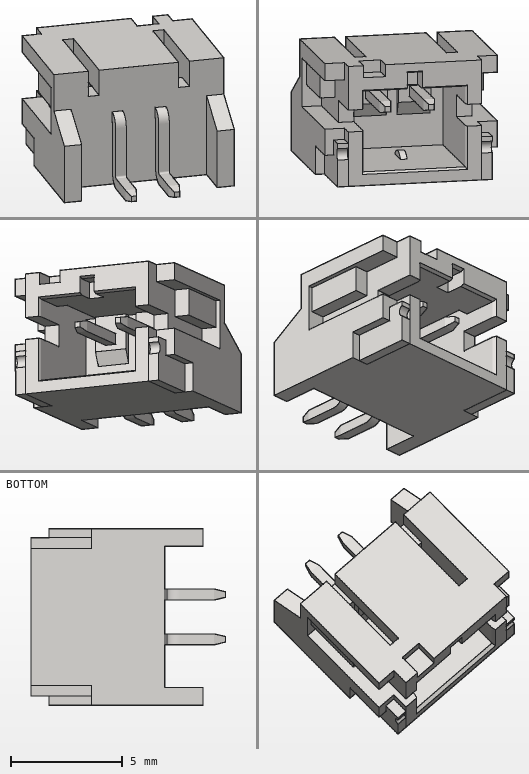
import cadquery as cq
import math


TOTAL_LENGTH = 8.7
HEIGHT = 5.5
WIDTH = 7.9
WALL_BACK_X = 5.985
SIDES = (1, -1)
CUT_MARGIN = 0.435

EAR_BACK_X = 7.7
EAR_THICKNESS = 0.8
SLOPE_TOP_Z = 3.77
SLOPE_BOTTOM_Z = 2.7

CAVITY_WIDTH = 4.7
CAVITY_FLOOR_Z = 0.6
CAVITY_ROOF_Z = 4.3
CAVITY_DEPTH = 4.8
MOUTH_CHAMFER_SIDE = 0.05
MOUTH_CHAMFER_HEIGHT = 0.08
MOUTH_CHAMFER_DEPTH = 0.18

KEYWAY_WIDTH = 0.7
KEYWAY_ROOF_Z = 5.05
KEYWAY_DEPTH = 1.0

NOTCH_LENGTH = 1.0
NOTCH_WIDTH = 1.0
NOTCH_DEPTH = 0.55
NOTCH_CENTER_Y = 1.845

SLOT_FRONT_X = 1.8
SLOT_WIDTH = 0.505
SLOT_OUTER_Y = CAVITY_WIDTH / 2

CORE_HALF_WIDTH = 3.05
FRONT_STEP = 0.8
WINDOW_BACK_X = 5.5
WINDOW_BOTTOM_Z = 2.5
WINDOW_TOP_Z = 4.715
BLOCK_FRONT_X = 2.715
BLOCK_BOTTOM_Z = 3.5
BLOCK_HALF_SPAN = 3.74
SIDE_OPENING_DEPTH = 2.01

TAB_THICKNESS = 0.49
TAB_LENGTH = BLOCK_FRONT_X
TAB_LOW_HEIGHT = 1.3
TAB_FRONT_HEIGHT = 1.98
GROOVE_CENTER_Z = 1.5
GROOVE_WIDTH = 0.52
GROOVE_DEPTH = 0.17

PIN_PITCH = 2.0
PIN_SIZE = 0.5
PIN_TIP_SIZE = 0.25
PIN_TAPER = 0.5
PIN_FRONT_X = 1.1
PIN_CENTER_Z = 3.2
PIN_INNER_BEND = 0.09
PIN_YS = [side * PIN_PITCH / 2 for side in SIDES]

PAD_WIDTH = 1.505
PAD_PROJECTION = 0.29
PAD_FACE_BOTTOM_Z = 2.71
PAD_ROOT_BOTTOM_Z = 2.09

DETENT_WIDTH = 0.305
DETENT_HEIGHT = 0.28
DETENT_FRONT_X = 2.28
DETENT_LENGTH = 1.17


def box(x_range, y_range, z_range):
    """Box between two limits along each axis; each pair may come in either order."""
    limits = [sorted(pair) for pair in (x_range, y_range, z_range)]
    size = [high - low for low, high in limits]
    corner = cq.Vector(*[low for low, high in limits])
    return cq.Workplane(obj=cq.Solid.makeBox(*size, corner))


def extrude_profile(profile, center_y, width):
    """Extrude a closed XZ outline to a width centred on center_y."""
    return profile.extrude(width / 2, both=True).translate((0, center_y, 0))


def make_shell():
    """Solid housing: main block with a sloped ear behind each side."""
    shell = box((0, WALL_BACK_X), (-WIDTH / 2, WIDTH / 2), (0, HEIGHT))
    for side in SIDES:
        outline = cq.Workplane("XZ").polyline([
            (WALL_BACK_X, 0),
            (EAR_BACK_X, 0),
            (EAR_BACK_X, SLOPE_BOTTOM_Z),
            (WALL_BACK_X, SLOPE_TOP_Z),
        ]).close()
        shell = shell.union(extrude_profile(outline, side * (WIDTH - EAR_THICKNESS) / 2, EAR_THICKNESS))
    return shell


def make_cavity():
    """Mating cavity with its chamfered mouth."""
    middle_z = (CAVITY_FLOOR_Z + CAVITY_ROOF_Z) / 2
    height = CAVITY_ROOF_Z - CAVITY_FLOOR_Z
    cavity = box((0, CAVITY_DEPTH), (-CAVITY_WIDTH / 2, CAVITY_WIDTH / 2), (CAVITY_FLOOR_Z, CAVITY_ROOF_Z))
    mouth = (
        cq.Workplane("YZ", origin=(0, 0, middle_z))
        .rect(CAVITY_WIDTH + 2 * MOUTH_CHAMFER_SIDE, height + 2 * MOUTH_CHAMFER_HEIGHT)
        .workplane(offset=MOUTH_CHAMFER_DEPTH)
        .rect(CAVITY_WIDTH, height)
        .loft()
    )
    return cavity.union(mouth)


def make_keyway():
    """Keyway above the cavity, its roof chamfered at the mouth."""
    outline = cq.Workplane("XZ").polyline([
        (0, CAVITY_FLOOR_Z),
        (0, KEYWAY_ROOF_Z + MOUTH_CHAMFER_HEIGHT),
        (MOUTH_CHAMFER_DEPTH, KEYWAY_ROOF_Z),
        (KEYWAY_DEPTH, KEYWAY_ROOF_Z),
        (KEYWAY_DEPTH, CAVITY_FLOOR_Z),
    ]).close()
    return extrude_profile(outline, 0, KEYWAY_WIDTH)


def make_notch():
    """Marking notch in the top front edge."""
    return box(
        (-CUT_MARGIN, NOTCH_LENGTH),
        (NOTCH_CENTER_Y - NOTCH_WIDTH / 2, NOTCH_CENTER_Y + NOTCH_WIDTH / 2),
        (HEIGHT - NOTCH_DEPTH, HEIGHT + CUT_MARGIN),
    )


def make_side_cuts(side):
    """Everything removed from one side: roof slot, window, front step, tab recess and side opening."""
    outer_y = side * (WIDTH / 2 + CUT_MARGIN)
    recess_y = (side * CORE_HALF_WIDTH, outer_y)
    slot_y = (side * SLOT_OUTER_Y, side * (SLOT_OUTER_Y - SLOT_WIDTH))

    window = box((0, WINDOW_BACK_X), recess_y, (WINDOW_BOTTOM_Z, WINDOW_TOP_Z))
    block = box(
        (BLOCK_FRONT_X, WINDOW_BACK_X),
        (side * CORE_HALF_WIDTH, side * BLOCK_HALF_SPAN),
        (BLOCK_BOTTOM_Z, WINDOW_TOP_Z),
    )
    front_step = box((-CUT_MARGIN, FRONT_STEP), recess_y, (-CUT_MARGIN, HEIGHT + CUT_MARGIN))
    tab_recess = box((-CUT_MARGIN, TAB_LENGTH), recess_y, (-CUT_MARGIN, TAB_LOW_HEIGHT))
    opening = box((-CUT_MARGIN, SIDE_OPENING_DEPTH), (0, outer_y), (WINDOW_BOTTOM_Z, BLOCK_BOTTOM_Z))
    slot = box((SLOT_FRONT_X, WALL_BACK_X + CUT_MARGIN), slot_y, (CAVITY_ROOF_Z, HEIGHT + CUT_MARGIN))
    return window.cut(block).union(front_step).union(tab_recess).union(opening).union(slot)


def make_pad(center_y):
    """Pad on the cavity back wall with a sloped underside."""
    outline = cq.Workplane("XZ").polyline([
        (CAVITY_DEPTH, CAVITY_ROOF_Z),
        (CAVITY_DEPTH - PAD_PROJECTION, CAVITY_ROOF_Z),
        (CAVITY_DEPTH - PAD_PROJECTION, PAD_FACE_BOTTOM_Z),
        (CAVITY_DEPTH, PAD_ROOT_BOTTOM_Z),
    ]).close()
    return extrude_profile(outline, center_y, PAD_WIDTH)


def make_detent():
    """Rounded bump on the cavity floor."""
    outline = (
        cq.Workplane("XZ")
        .moveTo(DETENT_FRONT_X, CAVITY_FLOOR_Z)
        .threePointArc(
            (DETENT_FRONT_X + DETENT_LENGTH / 2, CAVITY_FLOOR_Z + DETENT_HEIGHT),
            (DETENT_FRONT_X + DETENT_LENGTH, CAVITY_FLOOR_Z),
        )
        .close()
    )
    return extrude_profile(outline, 0, DETENT_WIDTH)


def make_pin_hole(center_y):
    """Square passage for a pin through the pad and the back wall."""
    half = PIN_SIZE / 2
    return box(
        (CAVITY_DEPTH - PAD_PROJECTION - CUT_MARGIN, WALL_BACK_X + CUT_MARGIN),
        (center_y - half, center_y + half),
        (PIN_CENTER_Z - half, PIN_CENTER_Z + half),
    )


def make_housing():
    """Complete housing with its pin passages."""
    housing = make_shell().cut(make_cavity()).cut(make_keyway()).cut(make_notch())
    for side in SIDES:
        housing = housing.cut(make_side_cuts(side))
    housing = housing.union(make_detent())
    for center_y in PIN_YS:
        housing = housing.union(make_pad(center_y)).cut(make_pin_hole(center_y))
    return housing


def make_pin_tip(start_x, direction, center_y, center_z):
    """Tapered pin end, pointing along +X or -X by direction."""
    plane = cq.Plane(origin=(start_x, center_y, center_z), xDir=(0, 1, 0), normal=(direction, 0, 0))
    return (
        cq.Workplane(plane)
        .rect(PIN_SIZE, PIN_SIZE)
        .workplane(offset=PIN_TAPER)
        .rect(PIN_TIP_SIZE, PIN_TIP_SIZE)
        .loft()
    )


def make_pin(center_y):
    """Bent square pin: contact, vertical leg behind the housing, and foot on the board."""
    outer_bend = PIN_INNER_BEND + PIN_SIZE
    contact_start = PIN_FRONT_X + PIN_TAPER
    foot_end = TOTAL_LENGTH - PIN_TAPER
    top_z = PIN_CENTER_Z + PIN_SIZE / 2
    bottom_z = PIN_CENTER_Z - PIN_SIZE / 2
    leg_front_x = WALL_BACK_X + PIN_INNER_BEND
    leg_back_x = WALL_BACK_X + outer_bend
    foot_bend_x = leg_back_x + PIN_INNER_BEND
    diagonal = math.sqrt(0.5)

    def on_bend(center_x, center_z, radius, sign):
        """Middle point of a quarter bend, offset from its centre by equal steps in X and Z."""
        offset = sign * radius * diagonal
        return (center_x + offset, center_z + offset)

    top_bend = (WALL_BACK_X, bottom_z - PIN_INNER_BEND)
    foot_bend = (foot_bend_x, outer_bend)
    outline = (
        cq.Workplane("XZ")
        .moveTo(contact_start, top_z)
        .lineTo(WALL_BACK_X, top_z)
        .threePointArc(on_bend(*top_bend, outer_bend, 1), (leg_back_x, top_bend[1]))
        .lineTo(leg_back_x, outer_bend)
        .threePointArc(on_bend(*foot_bend, PIN_INNER_BEND, -1), (foot_bend_x, PIN_SIZE))
        .lineTo(foot_end, PIN_SIZE)
        .lineTo(foot_end, 0)
        .lineTo(foot_bend_x, 0)
        .threePointArc(on_bend(*foot_bend, outer_bend, -1), (leg_front_x, outer_bend))
        .lineTo(leg_front_x, top_bend[1])
        .threePointArc(on_bend(*top_bend, PIN_INNER_BEND, 1), (WALL_BACK_X, bottom_z))
        .lineTo(contact_start, bottom_z)
        .close()
    )
    pin = extrude_profile(outline, center_y, PIN_SIZE)
    pin = pin.union(make_pin_tip(contact_start, -1, center_y, PIN_CENTER_Z))
    return pin.union(make_pin_tip(foot_end, 1, center_y, PIN_SIZE / 2))


def make_solder_tab(side):
    """L-shaped solder tab with a round groove across its front edge."""
    groove_half = GROOVE_WIDTH / 2
    outline = (
        cq.Workplane("XZ")
        .moveTo(0, 0)
        .lineTo(0, GROOVE_CENTER_Z - groove_half)
        .threePointArc((GROOVE_DEPTH, GROOVE_CENTER_Z), (0, GROOVE_CENTER_Z + groove_half))
        .lineTo(0, TAB_FRONT_HEIGHT)
        .lineTo(FRONT_STEP, TAB_FRONT_HEIGHT)
        .lineTo(FRONT_STEP, TAB_LOW_HEIGHT)
        .lineTo(TAB_LENGTH, TAB_LOW_HEIGHT)
        .lineTo(TAB_LENGTH, 0)
        .close()
    )
    return extrude_profile(outline, side * (CORE_HALF_WIDTH + TAB_THICKNESS / 2), TAB_THICKNESS)


housing = make_housing()
pins = [make_pin(center_y) for center_y in PIN_YS]
solder_tabs = [make_solder_tab(side) for side in SIDES]

result = cq.Compound.makeCompound([
    housing.solids().val(),
    *[pin.solids().val() for pin in pins],
    *[tab.solids().val() for tab in solder_tabs],
])